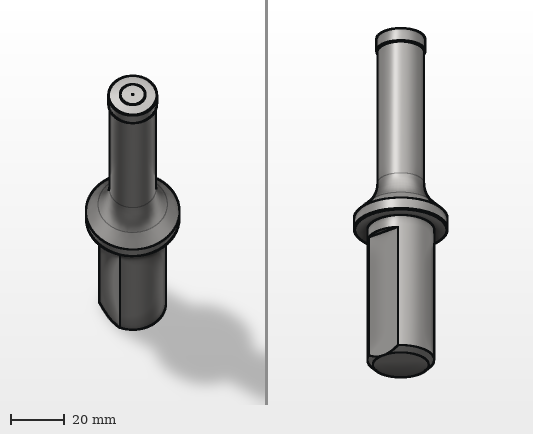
import cadquery as cq
import math

total_height = 136.5

shank_radius = 25.0 / 2
shank_chamfer = 2.0
flat_offset = 10.4
flat_top = 51.3

flange_radius = 35.0 / 2
flange_bottom = 56.2
flange_top = 61.0
flange_chamfer = 0.4

neck_radius = 17.5 / 2
blend_radius = 14.3
cone_angle = math.radians(45)
blend_end_radius = neck_radius + blend_radius * (1 - math.cos(cone_angle))
blend_end_z = flange_top + (flange_radius - blend_end_radius) / math.tan(cone_angle)
blend_start_z = blend_end_z + blend_radius * math.sin(cone_angle)
blend_middle = (
    neck_radius + blend_radius * (1 - math.cos(cone_angle / 2)),
    blend_start_z - blend_radius * math.sin(cone_angle / 2),
)

head_radius = 9.1
head_bottom = 130.4
head_bottom_chamfer = head_radius - neck_radius
head_top_chamfer = 0.3
face_rise = 0.4

center_base_radius = 4.8
center_top_radius = 4.5
center_height = 0.1
center_mark_radius = 0.2
center_mark_depth = 0.1
face_center = total_height - center_height
face_rim = face_center - face_rise


def make_holder():
    """Turned shank, flange and neck, with one flat milled on the -Y side."""
    body = (
        cq.Workplane("XZ")
        .moveTo(0, 0)
        .lineTo(shank_radius - shank_chamfer, 0)
        .lineTo(shank_radius, shank_chamfer)
        .lineTo(shank_radius, flange_bottom)
        .lineTo(flange_radius - flange_chamfer, flange_bottom)
        .lineTo(flange_radius, flange_bottom + flange_chamfer)
        .lineTo(flange_radius, flange_top)
        .lineTo(blend_end_radius, blend_end_z)
        .threePointArc(blend_middle, (neck_radius, blend_start_z))
        .lineTo(neck_radius, head_bottom)
        .lineTo(0, head_bottom)
        .close()
        .revolve(360, (0, 0, 0), (0, 1, 0))
    )
    flat_cutter = cq.Workplane("XY").box(
        2 * shank_radius, shank_radius, flat_top, centered=(True, False, False)
    ).translate((0, -flat_offset - shank_radius, 0))
    return body.cut(flat_cutter)


def make_head():
    """Turned cutting head seated on the end of the neck."""
    return (
        cq.Workplane("XZ")
        .moveTo(0, head_bottom)
        .lineTo(neck_radius, head_bottom)
        .lineTo(head_radius, head_bottom + head_bottom_chamfer)
        .lineTo(head_radius, face_rim - head_top_chamfer)
        .lineTo(head_radius - head_top_chamfer, face_rim)
        .lineTo(center_base_radius, face_center)
        .lineTo(center_top_radius, total_height)
        .lineTo(center_mark_radius, total_height)
        .lineTo(0, total_height - center_mark_depth)
        .close()
        .revolve(360, (0, 0, 0), (0, 1, 0))
    )


holder = make_holder()
head = make_head()

result = cq.Compound.makeCompound([holder.val(), head.val()])